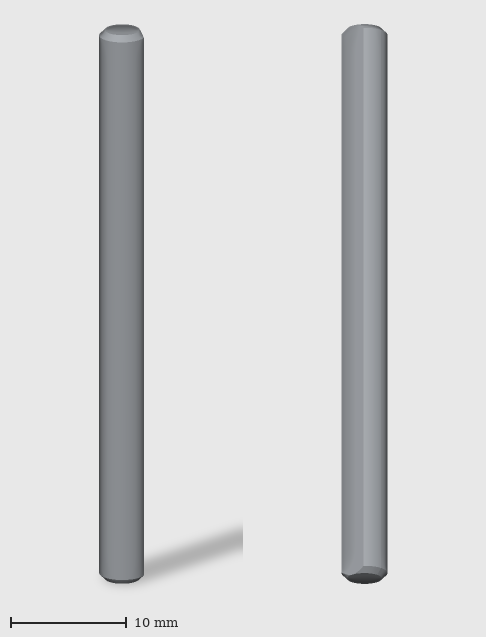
import cadquery as cq

diameter = 4.0
length = 50.0
width_across_flat = 3.5
end_chamfer = 0.5

radius = diameter / 2
end_radius = radius - end_chamfer
flat_y = width_across_flat - radius


def chamfered_rod():
    """Round rod along Z with both ends chamfered, its seam on the -X side."""
    half_profile = (
        cq.Workplane("XZ")
        .moveTo(0, 0)
        .lineTo(-end_radius, 0)
        .lineTo(-radius, end_chamfer)
        .lineTo(-radius, length - end_chamfer)
        .lineTo(-end_radius, length)
        .lineTo(0, length)
        .close()
    )
    return half_profile.revolve(360, (0, 0), (0, 1))


def flat_cutter():
    """Block filling the space beyond the flat on the +Y side."""
    block = cq.Workplane("XY").box(diameter, radius, length, centered=(True, False, False))
    return block.translate((0, flat_y, 0))


result = chamfered_rod().cut(flat_cutter(), clean=False)